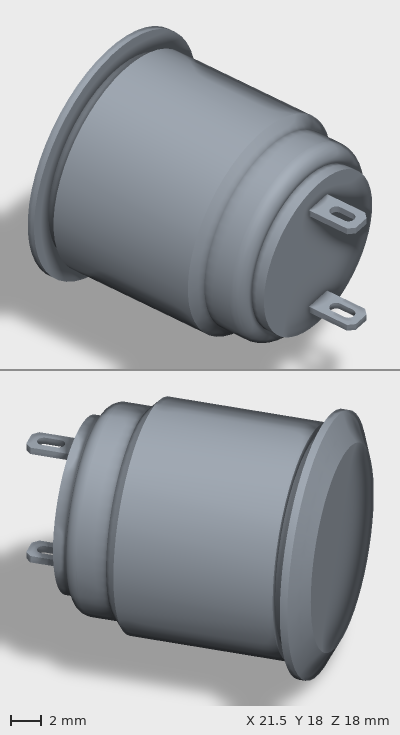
import cadquery as cq

bezel_taper_end = 0.99
bezel_back = 1.5
neck_end = 2.32
barrel_end = 13.25
collar_start = 14.0
collar_end = 17.0
base_end = 18.0
overall_length = 21.5

face_diameter = 14.0
bezel_diameter = 18.0
neck_diameter = 14.8
barrel_diameter = 15.9
collar_diameter = 14.3
base_diameter = 12.0
collar_fillet = 0.99

terminal_width = 2.0
terminal_thickness = 0.5
terminal_offset = 4.2
terminal_corner_chamfer = 0.4
eyelet_length = 1.9
eyelet_width = 0.9
eyelet_tip_gap = 0.58


def cone(start, end, start_diameter, end_diameter):
    """Solid of revolution about X, tapering between two diameters."""
    outline = [
        (start, 0),
        (start, start_diameter / 2),
        (end, end_diameter / 2),
        (end, 0),
    ]
    return cq.Workplane("XY").polyline(outline).close().revolve(360, (0, 0, 0), (1, 0, 0))


def cylinder(start, end, diameter):
    """Cylinder along X between two stations."""
    return cone(start, end, diameter, diameter)


def turned_body():
    """Bezel, neck, barrel, rounded collar and base on one axis."""
    bezel_taper = cone(0, bezel_taper_end, face_diameter, bezel_diameter)
    bezel_rim = cylinder(bezel_taper_end, bezel_back, bezel_diameter)
    neck = cylinder(bezel_back, neck_end, neck_diameter)
    barrel = cylinder(neck_end, barrel_end, barrel_diameter)
    barrel_taper = cone(barrel_end, collar_start, barrel_diameter, collar_diameter)
    collar = cylinder(collar_start, collar_end, collar_diameter).edges(">X").fillet(collar_fillet)
    base = cylinder(collar_end, base_end, base_diameter)

    body = bezel_taper
    for section in (bezel_rim, neck, barrel, barrel_taper, collar, base):
        body = body.union(section)
    return body


def terminal(height):
    """Flat tab with chamfered tip corners and an oblong eyelet, centred at the given Z."""
    tab_length = overall_length - base_end
    eyelet_centre = overall_length - eyelet_tip_gap - eyelet_length / 2
    tab = (
        cq.Workplane("XY")
        .box(tab_length, terminal_width, terminal_thickness, centered=(False, True, True))
        .edges("|Z and >X")
        .chamfer(terminal_corner_chamfer)
        .translate((base_end, 0, 0))
    )
    eyelet = (
        cq.Workplane("XY")
        .center(eyelet_centre, 0)
        .slot2D(eyelet_length, eyelet_width)
        .extrude(terminal_thickness / 2, both=True)
    )
    return tab.cut(eyelet).translate((0, 0, height))


result = turned_body()
for side in (1, -1):
    result = result.union(terminal(side * terminal_offset))